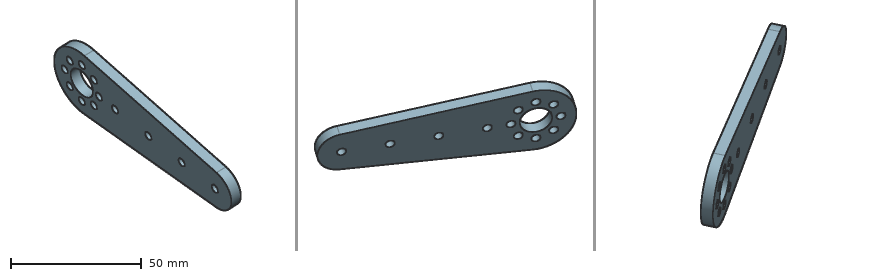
import cadquery as cq
import math

length = 101.6
thickness = 4.9
hub_diameter = 31.8
center_distance = 76.2
bore_diameter = 12.7
small_hole_diameter = 3.6
bolt_circle_diameter = 19.6
bolt_count = 8
arm_hole_count = 4

hub_radius = hub_diameter / 2
tip_radius = length - center_distance - hub_radius
arm_hole_pitch = center_distance / arm_hole_count

tangent_cos = (hub_radius - tip_radius) / center_distance
tangent_sin = math.sqrt(1 - tangent_cos**2)


def arm_plate():
    """Tapered plate with round ends joined by tangent edges; hub centre at the origin."""
    hub_x = hub_radius * tangent_cos
    hub_z = hub_radius * tangent_sin
    tip_x = center_distance + tip_radius * tangent_cos
    tip_z = tip_radius * tangent_sin
    return (
        cq.Workplane("XZ")
        .moveTo(hub_x, hub_z)
        .lineTo(tip_x, tip_z)
        .threePointArc((center_distance + tip_radius, 0), (tip_x, -tip_z))
        .lineTo(hub_x, -hub_z)
        .threePointArc((-hub_radius, 0), (hub_x, hub_z))
        .close()
        .extrude(thickness)
    )


def through_holes(centers, diameter):
    """Cutting cylinders that span the plate thickness."""
    return cq.Workplane("XZ").pushPoints(centers).circle(diameter / 2).extrude(thickness)


bolt_angles = [2 * math.pi * i / bolt_count for i in range(bolt_count)]
bolt_circle_radius = bolt_circle_diameter / 2
bolt_centers = [
    (bolt_circle_radius * math.cos(angle), bolt_circle_radius * math.sin(angle))
    for angle in bolt_angles
]
arm_centers = [(arm_hole_pitch * (i + 1), 0) for i in range(arm_hole_count)]

result = (
    arm_plate()
    .cut(through_holes([(0, 0)], bore_diameter))
    .cut(through_holes(bolt_centers + arm_centers, small_hole_diameter))
)